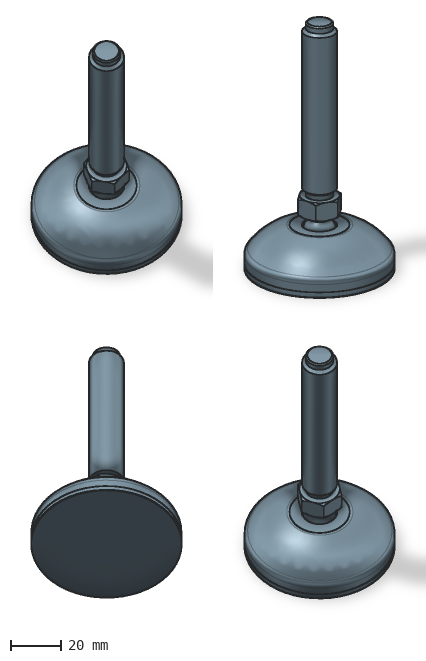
import cadquery as cq
import math

TOTAL_HEIGHT = 106.7

FOOT_RADIUS = 60.0 / 2
PAD_HEIGHT = 2.5
PAD_EDGE_HEIGHT = 0.3
PAD_EDGE_INSET = 0.1
SHELL_RADIUS = FOOT_RADIUS - 0.1
SHOULDER_BASE_HEIGHT = 6.0
DOME_BASE_HEIGHT = 8.7
DOME_BASE_RADIUS = 28.7
FOOT_HEIGHT = 19.0
RIM_RADIUS = 26.2 / 2
DOME_ARC_RADIUS = 27.2
SHOULDER_ARC_RADIUS = 3.2
RECESS_RADIUS = 23.9 / 2
RECESS_DEPTH = 0.1

BALL_RADIUS = 13.2 / 2
BALL_CENTER_HEIGHT = 16.4
SOCKET_RADIUS = 14.0 / 2
STEM_RADIUS = 8.1 / 2

HEX_ACROSS_FLATS = 16.0
HEX_BOTTOM = 23.8
HEX_TOP = 31.7
HEX_CHAMFER_ANGLE = 30.0

SPINDLE_RADIUS = 14.0 / 2
NECK_RADIUS = 11.0 / 2
SPINDLE_CHAMFER_WIDTH = SPINDLE_RADIUS - NECK_RADIUS
SPINDLE_CHAMFER_HEIGHT = 1.2
SPINDLE_BOTTOM = 33.7
SPINDLE_TOP = 103.8
TIP_CHAMFER = 0.6


def cylinder(radius, bottom, top):
    return cq.Workplane("XY").workplane(offset=bottom).circle(radius).extrude(top - bottom)


def bulge_point(start, end, radius):
    """Middle of an arc bulging to the left of the line from start to end."""
    dx = end[0] - start[0]
    dz = end[1] - start[1]
    chord = math.hypot(dx, dz)
    sagitta = radius - math.sqrt(radius**2 - (chord / 2) ** 2)
    mid_x = (start[0] + end[0]) / 2
    mid_z = (start[1] + end[1]) / 2
    return (mid_x - sagitta * dz / chord, mid_z + sagitta * dx / chord)


def make_foot():
    rim = (RIM_RADIUS, FOOT_HEIGHT)
    dome_base = (DOME_BASE_RADIUS, DOME_BASE_HEIGHT)
    wall_top = (SHELL_RADIUS, SHOULDER_BASE_HEIGHT)
    shell = (
        cq.Workplane("XZ")
        .moveTo(0, PAD_HEIGHT)
        .lineTo(0, FOOT_HEIGHT)
        .lineTo(*rim)
        .threePointArc(bulge_point(rim, dome_base, DOME_ARC_RADIUS), dome_base)
        .threePointArc(bulge_point(dome_base, wall_top, SHOULDER_ARC_RADIUS), wall_top)
        .lineTo(SHELL_RADIUS, PAD_HEIGHT)
        .close()
        .revolve(360, (0, 0, 0), (0, 1, 0))
    )
    pad = cylinder(FOOT_RADIUS, 0, PAD_HEIGHT).faces("<Z").chamfer(PAD_EDGE_HEIGHT, PAD_EDGE_INSET)
    recess = cylinder(RECESS_RADIUS, FOOT_HEIGHT - RECESS_DEPTH, FOOT_HEIGHT)
    socket = cylinder(SOCKET_RADIUS, BALL_CENTER_HEIGHT, FOOT_HEIGHT)
    return shell.union(pad).cut(recess).cut(socket)


def make_ball_stem():
    ball = cq.Workplane("XY").sphere(BALL_RADIUS).translate((0, 0, BALL_CENTER_HEIGHT))
    return ball.union(cylinder(STEM_RADIUS, BALL_CENTER_HEIGHT, HEX_BOTTOM))


def make_hexagon():
    """Hexagon with flats facing +X and -X and conical chamfers on both ends."""
    flat_radius = HEX_ACROSS_FLATS / 2
    corner_radius = flat_radius / math.cos(math.pi / 6)
    height = HEX_TOP - HEX_BOTTOM
    drop = (corner_radius - flat_radius) * math.tan(math.radians(HEX_CHAMFER_ANGLE))
    prism = (
        cq.Workplane("XY")
        .workplane(offset=HEX_BOTTOM)
        .polygon(6, 2 * corner_radius)
        .extrude(height)
        .rotate((0, 0, 0), (0, 0, 1), 30)
    )
    chamfer_envelope = (
        cylinder(corner_radius, HEX_BOTTOM, HEX_TOP)
        .edges()
        .chamfer(drop, corner_radius - flat_radius)
    )
    return prism.intersect(chamfer_envelope)


def make_spindle():
    neck = cylinder(NECK_RADIUS, HEX_TOP, SPINDLE_BOTTOM)
    shaft = (
        cylinder(SPINDLE_RADIUS, SPINDLE_BOTTOM, SPINDLE_TOP)
        .edges()
        .chamfer(SPINDLE_CHAMFER_HEIGHT, SPINDLE_CHAMFER_WIDTH)
    )
    tip = cylinder(NECK_RADIUS, SPINDLE_TOP, TOTAL_HEIGHT).faces(">Z").chamfer(TIP_CHAMFER)
    return neck.union(shaft).union(tip)


result = make_foot().union(make_ball_stem()).union(make_hexagon()).union(make_spindle())